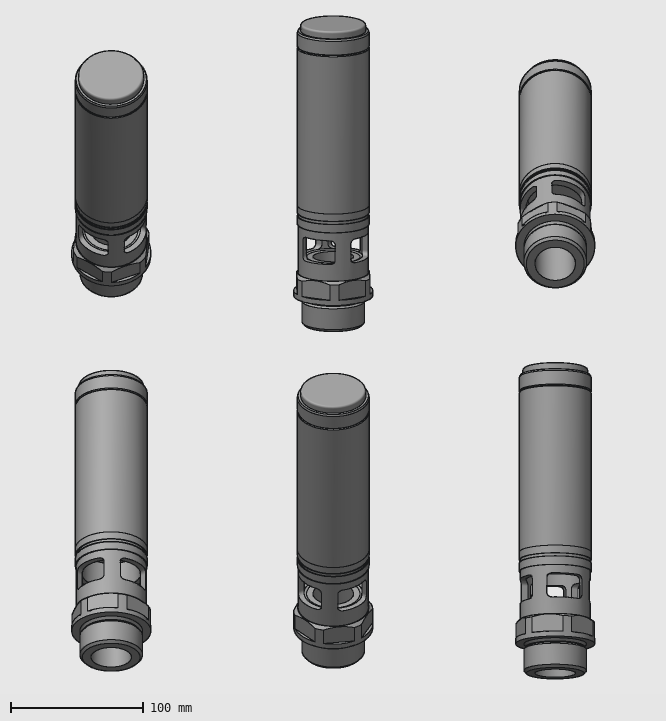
import cadquery as cq

THREAD_CHAMFER_TOP = 2.1
THREAD_TOP = 18.4
UNDERCUT_BOTTOM = 19.8
UNDERCUT_TOP = 20.5
FLANGE_BOTTOM = 22.5
FLATS_BOTTOM = 26.5
HEX_CONE_BOTTOM = 38.5
HEX_TOP = 40.7
CAVITY_FLOOR = 53.0
WINDOW_BOTTOM = 53.6
WINDOW_TOP = 72.2
COLLAR_BOTTOM = 78.5
GROOVE_BOTTOM = 85.2
GROOVE_TOP = 87.5
FITTING_TOP = 93.5
TUBE_TOP = 217.2
CAP_CHAMFER_BOTTOM = 228.5
CAP_TOP = 230.0
TOTAL_HEIGHT = 235.3

FLANGE_DIAMETER = 60.0
FLANGE_RADIUS = FLANGE_DIAMETER / 2
HEX_APOTHEM = 27.5
HEX_TOP_RADIUS = 27.0
BODY_RADIUS = 27.3
GROOVE_RADIUS = 26.5
WINDOW_WALL_RADIUS = 26.5
CAVITY_RADIUS = 22.1
CAVITY_FLOOR_RADIUS = 20.2
INLET_RADIUS = 15.3
THREAD_RADIUS = 23.8
THREAD_END_RADIUS = 22.0
UNDERCUT_RADIUS = 22.1
CAP_TOP_RADIUS = 26.5
DISC_RADIUS = 24.7

HEX_SIDES = 6
WINDOW_WIDTH = 27.8
WINDOW_CORNER_RADIUS = 3.5
JOINT_CHAMFER = 0.7
DISC_EDGE_RADIUS = 1.6


def cylinder(radius, bottom, top):
    """Solid cylinder on the Z axis between two heights."""
    return cq.Workplane("XY").workplane(offset=bottom).circle(radius).extrude(top - bottom)


def revolved(profile):
    """Solid of revolution about Z from (radius, height) points, closed along the axis."""
    on_axis = [(0, profile[-1][1]), (0, profile[0][1])]
    outline = cq.Workplane("XZ").polyline(profile + on_axis).close()
    return outline.revolve(360, (0, 0, 0), (0, 1, 0))


def turned_about_z(shape, angle):
    """Copy of a shape turned about the Z axis by an angle in degrees."""
    return shape.rotate((0, 0, 0), (0, 0, 1), angle)


def make_thread():
    """Threaded end with a chamfered tip and an undercut below the flange."""
    return revolved([
        (THREAD_END_RADIUS, 0),
        (THREAD_RADIUS, THREAD_CHAMFER_TOP),
        (THREAD_RADIUS, THREAD_TOP),
        (UNDERCUT_RADIUS, UNDERCUT_BOTTOM),
        (UNDERCUT_RADIUS, UNDERCUT_TOP),
        (THREAD_RADIUS, FLANGE_BOTTOM),
    ])


def make_hex_flange():
    """Round flange with a coned top and six wrench flats, one of them facing -Y."""
    flange = revolved([
        (FLANGE_RADIUS, FLANGE_BOTTOM),
        (FLANGE_RADIUS, HEX_CONE_BOTTOM),
        (HEX_TOP_RADIUS, HEX_TOP),
    ])
    flat_cutter = cq.Workplane("XY").box(
        FLANGE_DIAMETER, FLANGE_RADIUS, HEX_TOP - FLATS_BOTTOM, centered=(True, False, False)
    ).translate((0, HEX_APOTHEM, FLATS_BOTTOM))
    for i in range(HEX_SIDES):
        flange = flange.cut(turned_about_z(flat_cutter, i * 360 / HEX_SIDES))
    return flange


def make_upper_wall():
    """Windowed wall and the wider grooved collar above it, still without openings."""
    return revolved([
        (WINDOW_WALL_RADIUS, HEX_TOP),
        (WINDOW_WALL_RADIUS, COLLAR_BOTTOM),
        (BODY_RADIUS, COLLAR_BOTTOM),
        (BODY_RADIUS, GROOVE_BOTTOM),
        (GROOVE_RADIUS, GROOVE_BOTTOM),
        (GROOVE_RADIUS, GROOVE_TOP),
        (BODY_RADIUS, GROOVE_TOP),
        (BODY_RADIUS, FITTING_TOP),
    ])


def make_cavity():
    """Bore behind the windows, with a shallow cone around its floor, and the inlet below it."""
    bore = revolved([
        (CAVITY_FLOOR_RADIUS, CAVITY_FLOOR),
        (CAVITY_RADIUS, WINDOW_BOTTOM),
        (CAVITY_RADIUS, FITTING_TOP),
    ])
    return bore.union(cylinder(INLET_RADIUS, 0, CAVITY_FLOOR))


def make_window_cutter():
    """Rounded rectangular bar along Y that opens two opposite windows."""
    height = WINDOW_TOP - WINDOW_BOTTOM
    bar = cq.Workplane("XY").box(WINDOW_WIDTH, FLANGE_DIAMETER, height)
    bar = bar.edges("|Y").fillet(WINDOW_CORNER_RADIUS)
    return bar.translate((0, 0, (WINDOW_BOTTOM + WINDOW_TOP) / 2))


def make_fitting():
    """Threaded base with hex flange, four windows and collar."""
    fitting = make_thread().union(make_hex_flange()).union(make_upper_wall()).cut(make_cavity())
    window_cutter = make_window_cutter()
    for angle in (0, 90):
        fitting = fitting.cut(turned_about_z(window_cutter, angle))
    return fitting


def make_tube():
    """Long plain cylindrical body; its top chamfer is half of the V groove under the cap."""
    return cylinder(BODY_RADIUS, FITTING_TOP, TUBE_TOP).faces(">Z").chamfer(JOINT_CHAMFER)


def make_cap():
    """End cap with a bottom chamfer for the V groove and a chamfered shoulder."""
    return revolved([
        (BODY_RADIUS - JOINT_CHAMFER, TUBE_TOP),
        (BODY_RADIUS, TUBE_TOP + JOINT_CHAMFER),
        (BODY_RADIUS, CAP_CHAMFER_BOTTOM),
        (CAP_TOP_RADIUS, CAP_TOP),
    ])


def make_disc():
    """Round disc on top of the cap with a rounded upper edge."""
    return cylinder(DISC_RADIUS, CAP_TOP, TOTAL_HEIGHT).faces(">Z").edges().fillet(DISC_EDGE_RADIUS)


fitting = make_fitting()
tube = make_tube()
cap = make_cap()
disc = make_disc()

result = cq.Compound.makeCompound([fitting.val(), tube.val(), cap.val(), disc.val()])